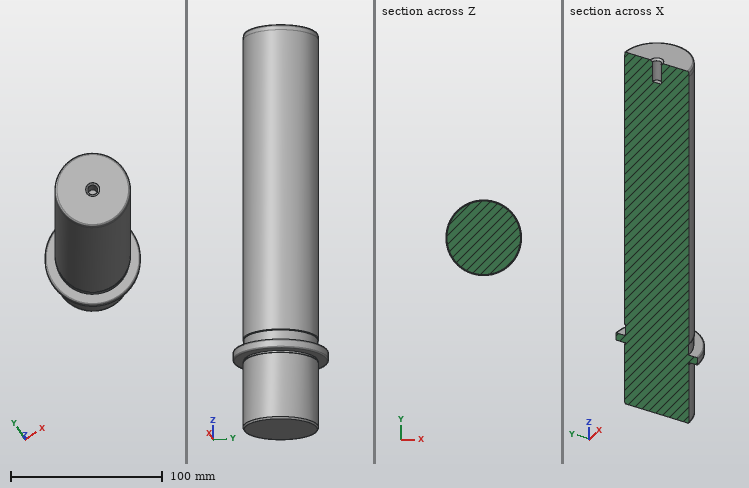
import cadquery as cq

total_height = 271.0
pillar_radius = 25.0
flange_radius = 31.5
neck_radius = 24.5

flange_bottom = 47.0
flange_thickness = 6.0
neck_length = 8.7
flange_top = flange_bottom + flange_thickness
neck_top = flange_top + neck_length

bottom_chamfer_height = 1.4
bottom_chamfer_width = 0.8
flange_rounding = 0.8
relief_depth = 0.5
relief_height = 1.4
shoulder_height = 0.5

lead_in_height = 3.8
lead_in_width = 0.3
top_rounding = 1.0

hole_radius = 3.3
hole_depth = 16.3
countersink_radius = 4.5

lead_in_radius = pillar_radius - lead_in_width


def make_pillar():
    """Revolve the half profile of the stepped pillar about Z."""
    profile = (
        cq.Workplane("XZ")
        .lineTo(pillar_radius - bottom_chamfer_width, 0)
        .lineTo(pillar_radius, bottom_chamfer_height)
        .lineTo(pillar_radius, flange_bottom - relief_height)
        .lineTo(pillar_radius - relief_depth, flange_bottom - relief_height)
        .lineTo(pillar_radius - relief_depth, flange_bottom)
        .lineTo(flange_radius - flange_rounding, flange_bottom)
        .tangentArcPoint((flange_rounding, flange_rounding))
        .lineTo(flange_radius, flange_top - flange_rounding)
        .tangentArcPoint((-flange_rounding, flange_rounding))
        .lineTo(neck_radius, flange_top)
        .lineTo(neck_radius, neck_top - shoulder_height)
        .lineTo(pillar_radius, neck_top)
        .lineTo(pillar_radius, total_height - lead_in_height)
        .lineTo(lead_in_radius, total_height - top_rounding)
        .tangentArcPoint((-top_rounding, top_rounding))
        .lineTo(0, total_height)
        .close()
    )
    return profile.revolve(360, (0, 0, 0), (0, 1, 0))


def drill_center_hole(body):
    """Drill the blind center hole down from the top face."""
    top_face = body.faces(">Z").workplane()
    return top_face.cskHole(2 * hole_radius, 2 * countersink_radius, 90, hole_depth)


result = drill_center_hole(make_pillar())